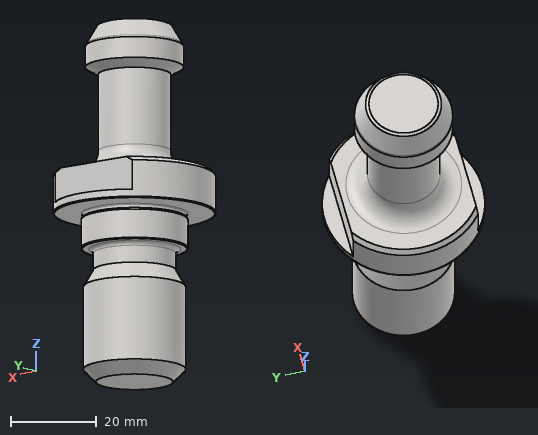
import cadquery as cq
import math

TOTAL_HEIGHT = 85.0

HEAD_RADIUS = 23.0 / 2
HEAD_SHOULDER_Z = 79.9
HEAD_UNDERSIDE_Z = 75.0
HEAD_EDGE_WIDTH = 0.2
HEAD_EDGE_HEIGHT = 0.5
HEAD_CONE_ANGLE = math.radians(30)
TOP_FACE_RADIUS = 8.1
TOP_EDGE_HEIGHT = 0.25
NECK_RADIUS = 17 / 2
NECK_FILLET = 5.0

FLANGE_RADIUS = 38.0 / 2
FLANGE_TOP_Z = 50.0
FLANGE_BOTTOM_Z = 40.0
FLANGE_TOP_CHAMFER = 1.0
FLANGE_BOTTOM_CHAMFER = 0.25
FLATS_WIDTH = 30.0
FLATS_BOTTOM_Z = 42.0

GROOVE_RADIUS = 24.5 / 2
GROOVE_BOTTOM_Z = 39.0
GROOVE_FILLET = 0.25
COLLAR_RADIUS = 25.0 / 2
COLLAR_BOTTOM_Z = 31.6
COLLAR_TOP_CHAMFER_HEIGHT = 0.4
COLLAR_BOTTOM_CHAMFER = 0.25

UNDERCUT_RADIUS = 19.5 / 2
UNDERCUT_FILLET = 1.0
UNDERCUT_BOTTOM_Z = 26.5
SHANK_RADIUS = 24.0 / 2
SHANK_CONE_ANGLE = math.radians(30)
SHANK_CHAMFER = 3.0


def concave_arc(profile, center, radius, start_angle, end_angle):
    """Continue the profile along an arc, with its angles in degrees."""
    middle_angle = (start_angle + end_angle) / 2
    middle, end = [
        (center[0] + radius * math.cos(math.radians(angle)),
         center[1] + radius * math.sin(math.radians(angle)))
        for angle in (middle_angle, end_angle)
    ]
    return profile.threePointArc(middle, end)


def shank_profile(profile):
    """Threaded end, its upper cone and the undercut below the collar."""
    cone_height = (SHANK_RADIUS - UNDERCUT_RADIUS) / math.tan(SHANK_CONE_ANGLE)
    fillet_center = (UNDERCUT_RADIUS + UNDERCUT_FILLET, COLLAR_BOTTOM_Z - UNDERCUT_FILLET)
    profile = (
        profile.lineTo(SHANK_RADIUS - SHANK_CHAMFER, 0)
        .lineTo(SHANK_RADIUS, SHANK_CHAMFER)
        .lineTo(SHANK_RADIUS, UNDERCUT_BOTTOM_Z - cone_height)
        .lineTo(UNDERCUT_RADIUS, UNDERCUT_BOTTOM_Z)
        .lineTo(UNDERCUT_RADIUS, fillet_center[1])
    )
    return concave_arc(profile, fillet_center, UNDERCUT_FILLET, 180, 90)


def collar_profile(profile):
    """Locating collar and the groove above it."""
    fillet_center = (GROOVE_RADIUS + GROOVE_FILLET, FLANGE_BOTTOM_Z - GROOVE_FILLET)
    profile = (
        profile.lineTo(COLLAR_RADIUS - COLLAR_BOTTOM_CHAMFER, COLLAR_BOTTOM_Z)
        .lineTo(COLLAR_RADIUS, COLLAR_BOTTOM_Z + COLLAR_BOTTOM_CHAMFER)
        .lineTo(COLLAR_RADIUS, GROOVE_BOTTOM_Z - COLLAR_TOP_CHAMFER_HEIGHT)
        .lineTo(GROOVE_RADIUS, GROOVE_BOTTOM_Z)
        .lineTo(GROOVE_RADIUS, fillet_center[1])
    )
    return concave_arc(profile, fillet_center, GROOVE_FILLET, 180, 90)


def flange_profile(profile):
    """Flange rim with a chamfer on both edges."""
    return (
        profile.lineTo(FLANGE_RADIUS - FLANGE_BOTTOM_CHAMFER, FLANGE_BOTTOM_Z)
        .lineTo(FLANGE_RADIUS, FLANGE_BOTTOM_Z + FLANGE_BOTTOM_CHAMFER)
        .lineTo(FLANGE_RADIUS, FLANGE_TOP_Z - FLANGE_TOP_CHAMFER)
        .lineTo(FLANGE_RADIUS - FLANGE_TOP_CHAMFER, FLANGE_TOP_Z)
    )


def knob_profile(profile):
    """Neck fillet, neck and gripping head."""
    fillet_center = (NECK_RADIUS + NECK_FILLET, FLANGE_TOP_Z + NECK_FILLET)
    profile = profile.lineTo(fillet_center[0], FLANGE_TOP_Z)
    profile = concave_arc(profile, fillet_center, NECK_FILLET, 270, 180)

    underside_height = (HEAD_RADIUS - NECK_RADIUS) * math.tan(HEAD_CONE_ANGLE)
    cone_base_radius = HEAD_RADIUS - HEAD_EDGE_WIDTH
    cone_base_z = HEAD_SHOULDER_Z + HEAD_EDGE_HEIGHT
    cone_top_z = TOTAL_HEIGHT - TOP_EDGE_HEIGHT
    cone_top_radius = cone_base_radius - (cone_top_z - cone_base_z) * math.tan(HEAD_CONE_ANGLE)
    return (
        profile.lineTo(NECK_RADIUS, HEAD_UNDERSIDE_Z - underside_height)
        .lineTo(HEAD_RADIUS, HEAD_UNDERSIDE_Z)
        .lineTo(HEAD_RADIUS, HEAD_SHOULDER_Z)
        .lineTo(cone_base_radius, cone_base_z)
        .lineTo(cone_top_radius, cone_top_z)
        .lineTo(TOP_FACE_RADIUS, TOTAL_HEIGHT)
        .lineTo(0, TOTAL_HEIGHT)
    )


def make_body():
    """Turned body, outlined from the bottom up in radius and height."""
    profile = cq.Workplane("XZ").moveTo(0, 0)
    for section in (shank_profile, collar_profile, flange_profile, knob_profile):
        profile = section(profile)
    return profile.close().revolve(360, (0, 0), (0, 1))


def cut_wrench_flats(body):
    """Mill both Y sides of the flange, leaving a thin full-round rim below."""
    cut_depth = FLANGE_RADIUS
    cut_height = FLANGE_TOP_Z - FLATS_BOTTOM_Z
    for side in (-1, 1):
        cutter = (
            cq.Workplane("XY", origin=(0, 0, FLATS_BOTTOM_Z))
            .center(0, side * (FLATS_WIDTH + cut_depth) / 2)
            .rect(2 * FLANGE_RADIUS, cut_depth)
            .extrude(cut_height)
        )
        body = body.cut(cutter)
    return body


result = cut_wrench_flats(make_body())